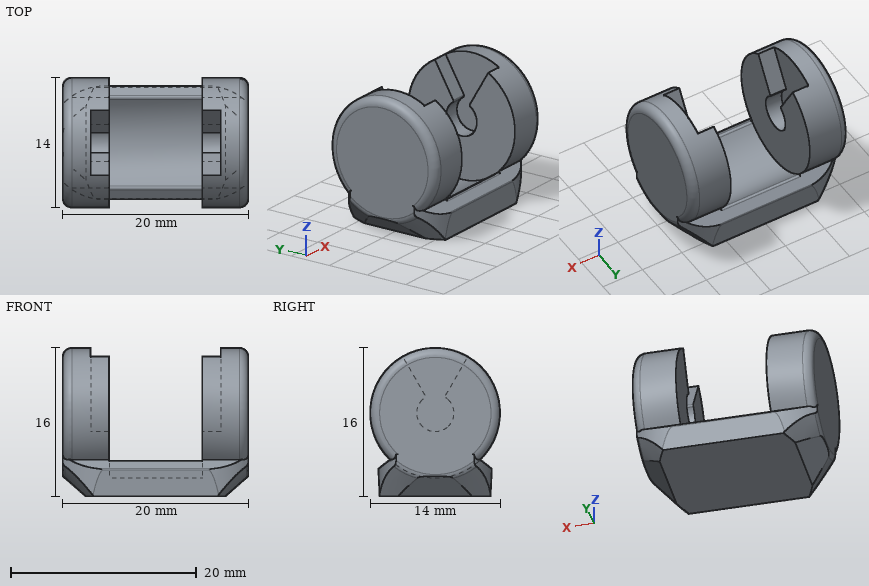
import cadquery as cq
import math

length = 20.0
height = 16.0
half_length = length / 2

cheek_radius = 7.0
cheek_width = 5.0
cheek_round = 1.0
axis_z = height - cheek_radius
half_gap = half_length - cheek_width

slot_depth = 2.0
hole_radius = 2.0
slot_half_angle = math.radians(30)
slot_reach = 10.0
neck_round = 0.2

foot_half_width = 5.98
shoulder_half_width = 6.12
shoulder_z = 2.95
crest_half_width = 4.1
crest_z = 4.55
straight_half_length = 5.5
end_half_width = 4.2
shoulder_round = 0.15
saddle_edge_round = 0.32

foot_half_length = 7.5
end_flat_z = 2.2
foot_flat_half_width = 4.0
end_face_radius = 7.0
end_round = 1.0
foot_corner_radius = math.hypot(foot_flat_half_width, axis_z)
cone_slope = (foot_corner_radius - end_face_radius) / (half_length - foot_half_length)


def cylinder_x(radius, x_start, width):
    """Cylinder along X on the common cheek axis."""
    return cq.Workplane("YZ", origin=(x_start, 0, axis_z)).circle(radius).extrude(width)


def make_cheek():
    """Right-hand cheek with its blind V slot and hole."""
    cheek = cylinder_x(cheek_radius, half_gap, cheek_width)
    cheek = cheek.faces(">X").edges().fillet(cheek_round)
    slot_half_width = slot_reach * math.tan(slot_half_angle)
    slot = (
        cq.Workplane("YZ", origin=(half_gap, 0, axis_z))
        .polyline([(0, 0), (slot_half_width, slot_reach), (-slot_half_width, slot_reach)])
        .close()
        .extrude(slot_depth)
    )
    slot = slot.union(cylinder_x(hole_radius, half_gap, slot_depth))
    neck_y = hole_radius * math.sin(slot_half_angle)
    neck_z = axis_z + hole_radius * math.cos(slot_half_angle)
    for side in (-1, 1):
        neck = cq.selectors.NearestToPointSelector((half_gap + slot_depth / 2, side * neck_y, neck_z))
        slot = slot.edges("|X").edges(neck).fillet(neck_round)
    return cheek.cut(slot)


def make_base_section():
    """Cross-section of the base, extruded over the full length."""
    right_side = [
        (foot_half_width, 0),
        (shoulder_half_width, shoulder_z),
        (crest_half_width, crest_z),
    ]
    left_side = [(-y, z) for y, z in reversed(right_side)]
    section = cq.Workplane("YZ").polyline(right_side + left_side).close()
    bar = section.extrude(half_length, both=True)
    return bar.edges("|X").edges(shoulder_edges()).fillet(shoulder_round)


def shoulder_edges():
    """Selector for edges running along the two shoulders."""
    margin = 0.2
    return cq.selectors.BoxSelector(
        (-half_length, -height, shoulder_z - margin),
        (half_length, height, shoulder_z + margin),
    )


def cut_saddle(base):
    """Trough between the cheeks, concentric with them, with rounded upper edges."""
    trough = cylinder_x(cheek_radius, -half_gap, 2 * half_gap)
    base = base.cut(trough)
    slope = (crest_z - shoulder_z) / (shoulder_half_width - crest_half_width)
    drop = axis_z - crest_z - slope * crest_half_width
    tilt = 1 + slope**2
    edge_y = (-slope * drop + math.sqrt(tilt * cheek_radius**2 - drop**2)) / tilt
    edge_z = axis_z - drop - slope * edge_y
    for side in (-1, 1):
        edge = cq.selectors.NearestToPointSelector((0, side * edge_y, edge_z))
        base = base.edges("|X").edges(edge).fillet(saddle_edge_round)
    return base


def make_base_plan():
    """Plan outline whose corners are arcs tangent to the long sides."""
    run = half_length - straight_half_length
    drop = shoulder_half_width - end_half_width
    corner_radius = (run**2 + drop**2) / (2 * drop)
    half_sweep = math.asin(run / corner_radius) / 2
    mid_x = straight_half_length + corner_radius * math.sin(half_sweep)
    mid_y = shoulder_half_width - corner_radius * (1 - math.cos(half_sweep))
    return (
        cq.Workplane("XY")
        .moveTo(-straight_half_length, shoulder_half_width)
        .lineTo(straight_half_length, shoulder_half_width)
        .threePointArc((mid_x, mid_y), (half_length, end_half_width))
        .lineTo(half_length, -end_half_width)
        .threePointArc((mid_x, -mid_y), (straight_half_length, -shoulder_half_width))
        .lineTo(-straight_half_length, -shoulder_half_width)
        .threePointArc((-mid_x, -mid_y), (-half_length, -end_half_width))
        .lineTo(-half_length, end_half_width)
        .threePointArc((-mid_x, mid_y), (-straight_half_length, shoulder_half_width))
        .close()
        .extrude(height)
    )


def make_end_cone():
    """Double cone that trims the underside of both base ends."""
    middle_radius = end_face_radius + cone_slope * half_length
    cone = (
        cq.Workplane("XY")
        .polyline([(-half_length, 0), (-half_length, end_face_radius), (0, middle_radius),
                   (half_length, end_face_radius), (half_length, 0)])
        .close()
        .revolve(360, (0, 0, 0), (1, 0, 0))
    )
    cone = cone.faces("<X or >X").edges().fillet(end_round)
    return cone.translate((0, 0, axis_z))


def make_end_flats():
    """Side profile with the sloping flats under both base ends."""
    return (
        cq.Workplane("XZ")
        .polyline([(-foot_half_length, 0), (foot_half_length, 0), (half_length, end_flat_z),
                   (half_length, height), (-half_length, height), (-half_length, end_flat_z)])
        .close()
        .extrude(cheek_radius, both=True)
    )


def make_base():
    base = make_base_section().intersect(make_base_plan())
    base = base.intersect(make_end_cone()).intersect(make_end_flats())
    return cut_saddle(base)


cheek = make_cheek()
result = make_base().union(cheek).union(cheek.mirror("YZ"))